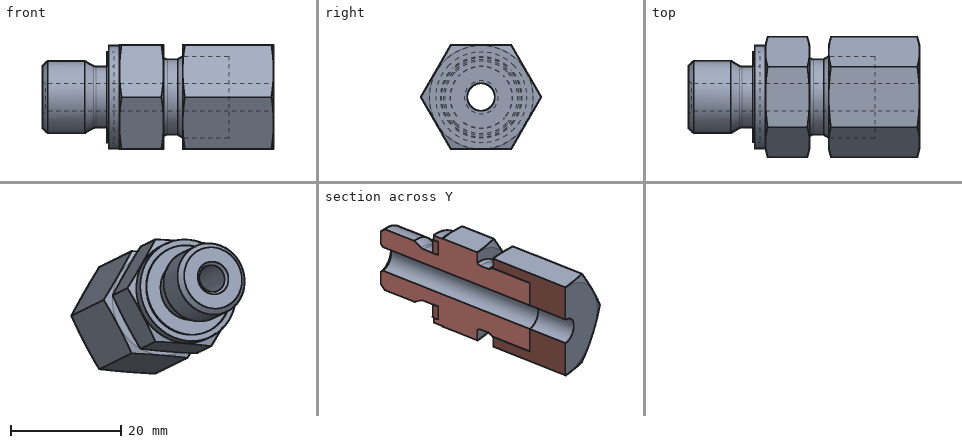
import cadquery as cq
import math

HEX_ACROSS_FLATS = 19.0
HEX_FACE_RADIUS = 9.45
HEX_CHAMFER_ANGLE = 15

BODY_HEX_START = 14.0
BODY_HEX_END = 22.0
NUT_START = 25.5
NUT_END = 42.0
SEAL_FACE = 11.7
FLANGE_START = 12.0

STUD_RADIUS = 6.6
STUD_CHAMFER = 0.92
STUD_LENGTH = 7.7
RELIEF_RADIUS = 5.6
RELIEF_ANGLE = 30
RELIEF_FILLET = 1.0
FLANGE_RADIUS = 9.4

SEAL_RADIUS = 8.27
SEAL_THICKNESS = 1.25
SEAL_SEAT = SEAL_FACE + SEAL_THICKNESS

NECK_RADIUS = 6.9
NECK_FILLET = 0.75
NECK_FILLET_RISE = 0.35
NECK_CONE_START = 24.55
NECK_CONE_ANGLE = 30
NECK_CONE_LENGTH = NUT_START - NECK_CONE_START
SPIGOT_RADIUS = NECK_RADIUS + NECK_CONE_LENGTH * math.tan(math.radians(NECK_CONE_ANGLE))
SPIGOT_DEPTH = 8.4
SPIGOT_END = NUT_START + SPIGOT_DEPTH

BORE_RADIUS = 2.48
BORE_CHAMFER = 0.55


def revolve_about_x(profile):
    """Revolve a closed XY profile (x = station, y = radius) around the X axis."""
    return profile.close().revolve(360, (0, 0, 0), (1, 0, 0))


def ring(start, end, outer_radius, inner_radius):
    """Plain ring between two stations."""
    disc = cq.Workplane("YZ").workplane(offset=start).circle(outer_radius)
    return disc.circle(inner_radius).extrude(end - start)


def cylinder(start, end, radius):
    """Solid cylinder between two stations."""
    return cq.Workplane("YZ").workplane(offset=start).circle(radius).extrude(end - start)


def chamfered_hexagon(start, end):
    """Hexagonal prism with flats on +Z and -Z and conical chamfers on both ends."""
    corner_radius = HEX_ACROSS_FLATS / math.sqrt(3)
    setback = (corner_radius - HEX_FACE_RADIUS) * math.tan(math.radians(HEX_CHAMFER_ANGLE))
    prism = (
        cq.Workplane("YZ").workplane(offset=start)
        .polygon(6, 2 * corner_radius)
        .extrude(end - start)
    )
    envelope = revolve_about_x(
        cq.Workplane("XY")
        .moveTo(start, 0)
        .lineTo(start, HEX_FACE_RADIUS)
        .lineTo(start + setback, corner_radius)
        .lineTo(end - setback, corner_radius)
        .lineTo(end, HEX_FACE_RADIUS)
        .lineTo(end, 0)
    )
    return prism.intersect(envelope)


def make_stud():
    """Stud with a lead-in chamfer, a runout cone blended into the relief, and the flange."""
    slope = math.radians(RELIEF_ANGLE)
    blend_radius = RELIEF_RADIUS + RELIEF_FILLET * (1 - math.cos(slope))
    blend_start = STUD_LENGTH + (STUD_RADIUS - blend_radius) / math.tan(slope)
    blend_end = blend_start + RELIEF_FILLET * math.sin(slope)
    blend_middle = (
        blend_end - RELIEF_FILLET * math.sin(slope / 2),
        RELIEF_RADIUS + RELIEF_FILLET * (1 - math.cos(slope / 2)),
    )
    return revolve_about_x(
        cq.Workplane("XY")
        .moveTo(0, 0)
        .lineTo(0, STUD_RADIUS - STUD_CHAMFER)
        .lineTo(STUD_CHAMFER, STUD_RADIUS)
        .lineTo(STUD_LENGTH, STUD_RADIUS)
        .lineTo(blend_start, blend_radius)
        .threePointArc(blend_middle, (blend_end, RELIEF_RADIUS))
        .lineTo(FLANGE_START, RELIEF_RADIUS)
        .lineTo(FLANGE_START, FLANGE_RADIUS)
        .lineTo(BODY_HEX_START, FLANGE_RADIUS)
        .lineTo(BODY_HEX_START, 0)
    )


def make_neck():
    """Neck with a partial fillet at the hexagon and a cone widening to the spigot in the nut."""
    fillet_end = BODY_HEX_END + math.sqrt(NECK_FILLET**2 - (NECK_FILLET - NECK_FILLET_RISE) ** 2)
    return revolve_about_x(
        cq.Workplane("XY")
        .moveTo(BODY_HEX_END, 0)
        .lineTo(BODY_HEX_END, NECK_RADIUS + NECK_FILLET_RISE)
        .radiusArc((fillet_end, NECK_RADIUS), -NECK_FILLET)
        .lineTo(NECK_CONE_START, NECK_RADIUS)
        .lineTo(NUT_START, SPIGOT_RADIUS)
        .lineTo(SPIGOT_END, SPIGOT_RADIUS)
        .lineTo(SPIGOT_END, 0)
    )


def make_body_bore():
    """Passage with a countersunk mouth at the stud end."""
    return revolve_about_x(
        cq.Workplane("XY")
        .moveTo(0, 0)
        .lineTo(0, BORE_RADIUS + BORE_CHAMFER)
        .lineTo(BORE_CHAMFER, BORE_RADIUS)
        .lineTo(SPIGOT_END, BORE_RADIUS)
        .lineTo(SPIGOT_END, 0)
    )


def make_body():
    """Fitting body: stud, flange, hexagon, neck and spigot around one passage."""
    hexagon = chamfered_hexagon(BODY_HEX_START, BODY_HEX_END)
    seal_recess = ring(FLANGE_START, SEAL_SEAT, SEAL_RADIUS, RELIEF_RADIUS)
    solid = make_stud().union(hexagon).union(make_neck())
    return solid.cut(seal_recess).cut(make_body_bore())


def make_seal():
    """Sealing ring seated in the flange and standing slightly proud of it."""
    return ring(SEAL_FACE, SEAL_SEAT, SEAL_RADIUS, RELIEF_RADIUS)


def make_nut():
    """Union nut with a socket for the body spigot and a passage through its end."""
    socket = cylinder(NUT_START, SPIGOT_END, SPIGOT_RADIUS)
    passage = cylinder(SPIGOT_END, NUT_END, BORE_RADIUS)
    return chamfered_hexagon(NUT_START, NUT_END).cut(socket).cut(passage)


body = make_body()
seal = make_seal()
nut = make_nut()

result = cq.Compound.makeCompound([body.solids().val(), seal.val(), nut.solids().val()])